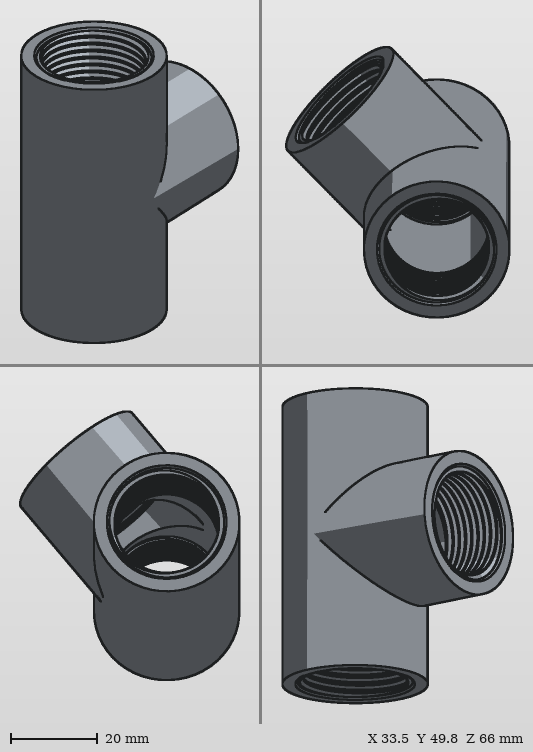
import cadquery as cq
import math

length = 66.0
outer_diameter = 33.5
branch_reach = length / 2
core_diameter = 25.4
socket_diameter = 26.45
socket_depth = 16.5
mouth_chamfer = 0.5

helix_height = 19.9
helix_turns = 11
thread_start = -1.6
thread_top = mouth_chamfer
thread_end = socket_depth
thread_crest_diameter = 24.1
crest_width = 0.45
flank_half_angle = 27.5

outer_radius = outer_diameter / 2
socket_radius = socket_diameter / 2
thread_crest_radius = thread_crest_diameter / 2
thread_pitch = helix_height / helix_turns
ridge_depth = socket_radius - thread_crest_radius
root_width = crest_width + 2 * ridge_depth * math.tan(math.radians(flank_half_angle))

mouth_directions = [(0, 0, 1), (0, 0, -1), (0, 1, 0)]


def mouth_plane(direction):
    """Plane at a mouth, with its Z pointing into the tee."""
    outward = cq.Vector(*direction)
    return cq.Plane(origin=(outward * branch_reach).toTuple(), xDir=(1, 0, 0), normal=(-outward).toTuple())


def arm_cylinder(direction, diameter):
    """Cylinder from a mouth to the centre of the tee."""
    return cq.Workplane(mouth_plane(direction)).circle(diameter / 2).extrude(branch_reach)


def make_socket(direction):
    """Cutter for a threaded socket and the chamfer at its mouth."""
    profile = [
        (0, 0),
        (socket_radius + mouth_chamfer, 0),
        (socket_radius, mouth_chamfer),
        (socket_radius, socket_depth),
        (0, socket_depth),
    ]
    socket = cq.Workplane("XZ").polyline(profile).close().revolve(360, (0, 0), (0, 1))
    return cq.Workplane(socket.val().located(cq.Location(mouth_plane(direction))))


def make_tee():
    """Pipe tee with a chamfered socket in each mouth."""
    tee = cq.Workplane("XY").circle(outer_radius).extrude(branch_reach, both=True)
    tee = tee.union(arm_cylinder((0, 1, 0), outer_diameter))
    for direction in mouth_directions:
        tee = tee.cut(arm_cylinder(direction, core_diameter))
    for direction in mouth_directions:
        tee = tee.cut(make_socket(direction))
    return tee


def make_thread(direction):
    """Helical ridge that lines one socket."""
    ridge = [
        (socket_radius, -root_width / 2),
        (thread_crest_radius, -crest_width / 2),
        (thread_crest_radius, crest_width / 2),
        (socket_radius, root_width / 2),
    ]
    helix = cq.Wire.makeHelix(thread_pitch, helix_height, socket_radius)
    thread = cq.Workplane("XZ").polyline(ridge).close().sweep(cq.Workplane(helix), isFrenet=True)
    thread = thread.translate((0, 0, thread_start))
    trim = cq.Workplane("XY", origin=(0, 0, thread_top)).circle(outer_radius).extrude(thread_end - thread_top)
    thread = thread.intersect(trim)
    return cq.Workplane(thread.val().located(cq.Location(mouth_plane(direction))))


tee = make_tee()
threads = [make_thread(direction) for direction in mouth_directions]

result = cq.Compound.makeCompound([tee.val(), *[thread.val() for thread in threads]])